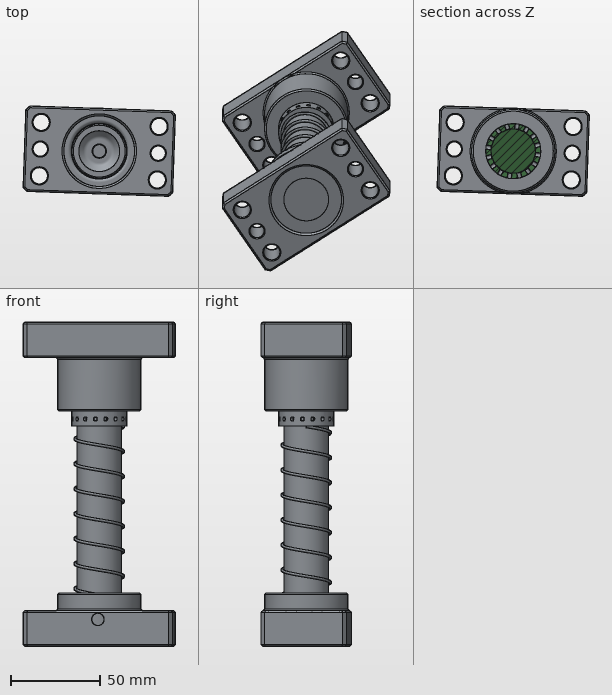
import cadquery as cq
import math

total_height = 181.5
plate_thickness = 20.0
upper_plate_bottom = total_height - plate_thickness

plate_length = 83.9
plate_width = 48.0
plate_turn = -2.0
corner_chamfer = 2.2
edge_chamfer = 1.0
hole_columns = 66.0
hole_rows = 30.0
screw_hole_radius = 4.5
dowel_hole_radius = 4.0
hole_chamfer = 0.5
mouth_chamfer = 1.0
locating_hole_radius = 3.5
locating_hole_drop = 4.9

sleeve_radius = 46.7 / 2
spigot_radius = 19.8
spigot_recess = mouth_chamfer
flare_radius = 24.1
flare_height = 0.9
sleeve_chamfer = 0.9
collar_height = 10.0
bushing_height = 30.0
bushing_bore_radius = 15.6
bushing_mouth_fillet = 2.0
clearance_radius = 13.6
clearance_depth = 5.5

pillar_radius = 12.5
cap_radius = 15.2
cap_depth = 6.7
cap_thickness = 4.5
cap_chamfer = 0.7
cup_rim_radius = 11.5
cup_floor_radius = 7.8
cup_depth = 3.3
cup_fillet = 2.7
cap_pin_radius = 4.0
cap_pin_rise = 2.2
cap_pin_chamfer = 0.4

cage_radius = 15.5
cage_overhang = 8.4
cage_hole_count = 16
cage_hole_radius = 1.0
cage_hole_height = 4.0
cage_hole_start = 14.0

wire_radius = 0.76
coil_radius = 13.5
spring_pitch = 14.0
spring_top_phase = 0.2

collar_top = plate_thickness + collar_height
bushing_bottom = upper_plate_bottom - bushing_height
cage_bottom = bushing_bottom - cage_overhang
cap_top = total_height - cap_depth
cap_bottom = cap_top - cap_thickness
cup_floor = cap_top - cup_depth


def cylinder(radius, bottom, top):
    return cq.Workplane("XY").workplane(offset=bottom).circle(radius).extrude(top - bottom)


def revolved(points):
    """Turn an outline of (radius, height) points about the Z axis."""
    return cq.Workplane("XZ").polyline(points).close().revolve(360, (0, 0), (0, 1))


def through_holes(plate, radius, places):
    """Holes through the plate, chamfered at both ends."""
    mouth = radius + hole_chamfer
    bore = revolved([
        (0, 0),
        (mouth, 0),
        (radius, hole_chamfer),
        (radius, plate_thickness - hole_chamfer),
        (mouth, plate_thickness),
        (0, plate_thickness),
    ])
    for x, y in places:
        plate = plate.cut(bore.translate((x, y, 0)))
    return plate


def make_plate():
    """Plate with its outer face at Z = 0, not yet turned about Z."""
    plate = cq.Workplane("XY").box(plate_length, plate_width, plate_thickness, centered=(True, True, False))
    plate = plate.edges("|Z").chamfer(corner_chamfer)
    plate = plate.faces("<Z or >Z").chamfer(edge_chamfer)
    mouth_radius = spigot_radius + mouth_chamfer
    sleeve_hole = revolved([
        (0, 0),
        (mouth_radius, 0),
        (spigot_radius, mouth_chamfer),
        (spigot_radius, plate_thickness),
        (0, plate_thickness),
    ])
    plate = plate.cut(sleeve_hole)
    column = hole_columns / 2
    row = hole_rows / 2
    corners = [(x, y) for x in (-column, column) for y in (-row, row)]
    plate = through_holes(plate, screw_hole_radius, corners)
    return through_holes(plate, dowel_hole_radius, [(-column, 0), (column, 0)])


def make_lower_plate():
    """Lower plate, with a locating hole from its long side in to the collar."""
    locating_hole = (
        cq.Workplane("XZ", origin=(0, 0, plate_thickness - locating_hole_drop))
        .circle(locating_hole_radius)
        .extrude(plate_width)
    )
    plate = make_plate().cut(locating_hole)
    return plate.rotate((0, 0, 0), (0, 0, 1), plate_turn)


def make_upper_plate():
    """Upper plate, turned over so that its outer face is on top."""
    plate = make_plate().mirror("XY").translate((0, 0, total_height))
    return plate.rotate((0, 0, 0), (0, 0, 1), plate_turn)


def sleeve_blank(height):
    """Solid sleeve: spigot in the plate, then a flare and a body that stands out by height."""
    end = plate_thickness + height
    return revolved([
        (0, spigot_recess),
        (spigot_radius, spigot_recess),
        (spigot_radius, plate_thickness),
        (flare_radius, plate_thickness),
        (sleeve_radius, plate_thickness + flare_height),
        (sleeve_radius, end - sleeve_chamfer),
        (sleeve_radius - sleeve_chamfer, end),
        (0, end),
    ])


def make_collar():
    collar = sleeve_blank(collar_height)
    collar = collar.cut(cylinder(pillar_radius, 0, collar_top))
    return collar.cut(cylinder(clearance_radius, collar_top - clearance_depth, collar_top))


def make_bushing():
    bushing = sleeve_blank(bushing_height)
    bushing = bushing.cut(cylinder(bushing_bore_radius, 0, plate_thickness + bushing_height))
    mouth = cq.selectors.RadiusNthSelector(0)
    bushing = bushing.faces("<Z").edges(mouth).fillet(bushing_mouth_fillet)
    return bushing.mirror("XY").translate((0, 0, total_height))


def make_pillar():
    return cylinder(pillar_radius, spigot_recess, cap_bottom)


def make_cap():
    """Disc on top of the pillar, with a funnel-shaped cup and a hole for the pin."""
    cup = revolved([
        (0, cup_floor),
        (cup_floor_radius, cup_floor),
        (cup_rim_radius, cap_top),
        (0, cap_top),
    ])
    cup = cup.faces("<Z").edges().fillet(cup_fillet)
    cap = cylinder(cap_radius, cap_bottom, cap_top).faces(">Z").chamfer(cap_chamfer)
    cap = cap.cut(cup)
    return cap.cut(cylinder(cap_pin_radius, cap_bottom, cap_top))


def make_cap_pin():
    pin = cylinder(cap_pin_radius, cap_bottom, cup_floor + cap_pin_rise)
    return pin.faces(">Z").chamfer(cap_pin_chamfer)


def make_cage():
    """Sleeve between pillar and bushing, with a ring of radial holes below the bushing."""
    cage = cylinder(cage_radius, cage_bottom, cap_bottom)
    cage = cage.cut(cylinder(pillar_radius, cage_bottom, cap_bottom))
    hole = (
        cq.Workplane("YZ", origin=(0, 0, cage_bottom + cage_hole_height))
        .circle(cage_hole_radius)
        .extrude(cage_radius)
    )
    for i in range(cage_hole_count):
        angle = cage_hole_start + i * 360 / cage_hole_count
        cage = cage.cut(hole.rotate((0, 0, 0), (0, 0, 1), angle))
    return cage


def make_spring():
    """Left-hand coil whose ends are ground flat, on the collar below and the cage above."""
    coil_top = cage_bottom - spring_top_phase
    turns = math.ceil((coil_top - collar_top + wire_radius) / spring_pitch)
    coil_bottom = coil_top - turns * spring_pitch
    path = cq.Wire.makeHelix(spring_pitch, turns * spring_pitch, coil_radius, lefthand=True)
    coil = cq.Workplane("XZ").center(coil_radius, 0).circle(wire_radius).sweep(path, isFrenet=True)
    coil = coil.translate((0, 0, coil_bottom))
    return coil.intersect(cylinder(sleeve_radius, collar_top, cage_bottom))


lower_plate = make_lower_plate()
collar = make_collar()
pillar = make_pillar()
spring = make_spring()
cage = make_cage()
bushing = make_bushing()
upper_plate = make_upper_plate()
cap = make_cap()
cap_pin = make_cap_pin()

bodies = [lower_plate, collar, pillar, spring, cage, bushing, upper_plate, cap, cap_pin]
result = cq.Compound.makeCompound([body.solids().val() for body in bodies])